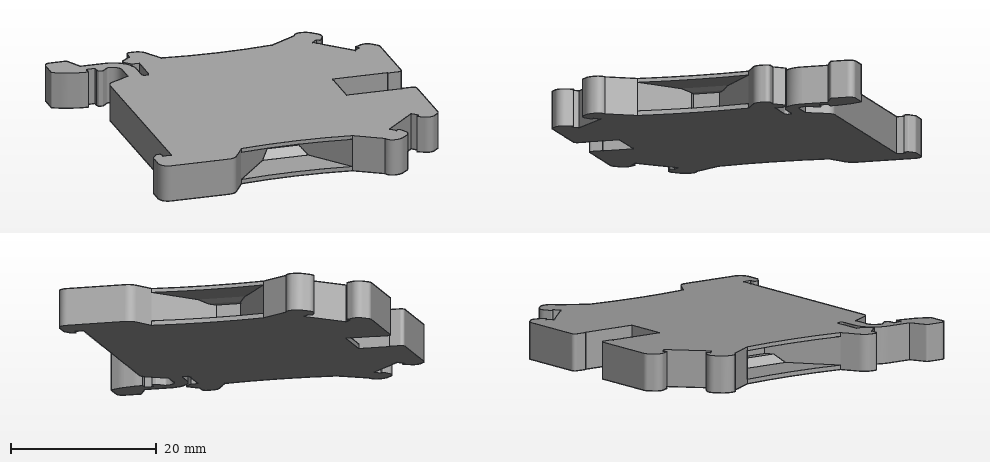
import cadquery as cq
import math

thickness = 5.2
height = 46.0
half_width = 21.25
left_edge = -half_width

notch_half = 3.17
notch_lip = 0.15
lip_bottom = 43.95
lip_radius = 0.55
notch_bottom = 35.95
ledge_top = 39.5
ledge_thickness = 0.65

nose_sum = 59.3
groove_upper = (12.55, 42.27)
groove_length = 6.6
nose_radius = 1.2
top_radius = 0.85
outer_radius = 1.85

side_x = 18.0
side_low = 16.05
side_high = 32.05
side_bow = 0.5
foot_shoulder = 14.1
foot_shoulder_radius = 1.6

base_y = 6.15
foot_bottom = 3.45
foot_inner_x = 17.45
foot_hook_x = 16.6
foot_radius = 1.43
hook_top = 4.9

spring_outer_x = -18.4
spring_inner_x = -16.97
spring_top = 11.55
spring_hook_x = -15.8
spring_root_x = -12.8
spring_root_y = 9.55
bend_outer_radius = 3.35
bend_inner_radius = 1.3
gap_height = 1.0
gap_end_x = -12.37
gap_end_radius = 0.45
tab_outer_x = -20.85
tab_inner_radius = 3.7

pocket_floor = 0.65
pocket_ceiling = 4.65
throat_floor = 1.75
throat_ceiling = 4.3
ramp_start = 6.0
ramp_end = 7.25
throat_end = 8.25
throat_high = 26.7
throat_low = 22.9


def rounded_outline(corners):
    """Closed outline through (x, y, radius) corners, each rounded by its radius."""
    spans = []
    for i, (x, y, radius) in enumerate(corners):
        corner = cq.Vector(x, y)
        to_last = (cq.Vector(*corners[i - 1][:2]) - corner).normalized()
        to_next = (cq.Vector(*corners[(i + 1) % len(corners)][:2]) - corner).normalized()
        if radius == 0:
            spans.append((corner, None, corner))
            continue
        half_angle = to_last.getAngle(to_next) / 2
        setback = radius / math.tan(half_angle)
        middle_gap = radius / math.sin(half_angle) - radius
        bisector = (to_last + to_next).normalized()
        arc_start = corner + to_last * setback
        arc_end = corner + to_next * setback
        spans.append((arc_start, corner + bisector * middle_gap, arc_end))

    outline = cq.Workplane("XY").moveTo(*spans[-1][2].toTuple()[:2])
    for start, middle, end in spans:
        outline = outline.lineTo(*start.toTuple()[:2])
        if middle is not None:
            outline = outline.threePointArc(middle.toTuple()[:2], end.toTuple()[:2])
    return outline.close()


def shoulder_corners():
    """Corners of the right shoulder, from the notch down to the side wall."""
    groove_run = groove_length / math.sqrt(2)
    middle_x = groove_upper[0] + groove_run / 2
    middle_y = groove_upper[1] - groove_run / 2

    upper = [
        (14.8, nose_sum - 14.8, nose_radius),
        (13.8, 42.65, 0.15),
        (13.35, 43.05, 0),
        (*groove_upper, 0),
    ]
    lower = [(middle_x + y - middle_y, middle_y + x - middle_x, r) for x, y, r in reversed(upper)]
    return [
        (notch_half, notch_bottom, 0),
        (notch_half, lip_bottom, 0),
        (notch_half - notch_lip, lip_bottom, 0),
        (notch_half - notch_lip, height, lip_radius),
        (nose_sum - height, height, top_radius),
        *upper,
        *lower,
        (half_width, nose_sum - half_width, outer_radius),
        (half_width, 36.3, 1.2),
        (20.4, 35.95, 0),
        (side_x, side_high, 0),
    ]


def fixed_foot_corners():
    """Right foot, from the side wall to the base."""
    return [
        (side_x, side_low, 0),
        (half_width, foot_shoulder, foot_shoulder_radius),
        (half_width, foot_bottom, foot_radius),
        (17.65, foot_bottom, 0.7),
        (foot_hook_x, 4.25, 0.15),
        (foot_hook_x, hook_top - 0.1, 0.15),
        (17.0, hook_top, 0),
        (foot_inner_x, hook_top, 0),
        (foot_inner_x, base_y, 0),
    ]


def spring_foot_corners():
    """Left foot with its spring arm, from the base to the side wall."""
    gap_top = spring_top + gap_height
    stop_y = 12.0
    return [
        (-10.85, base_y, 1.3),
        (spring_root_x, spring_root_y, 0),
        (-16.35, spring_root_y, bend_inner_radius),
        (-16.75, 7.95, 0.45),
        (spring_hook_x, 6.95, 0.25),
        (spring_hook_x, 6.35, 0.15),
        (-16.35, base_y, 0),
        (spring_inner_x, base_y, 0),
        (spring_inner_x, hook_top, 0),
        (-15.95, hook_top, 0),
        (-16.0, 3.9, tab_inner_radius),
        (-16.45, 1.7, tab_inner_radius),
        (-17.3, 0, 0.2),
        (tab_outer_x, 0, 0.9),
        (tab_outer_x, 3.3, 0.35),
        (spring_outer_x, 4.5, 0),
        (spring_outer_x, spring_top, bend_outer_radius),
        (gap_end_x, spring_top, gap_end_radius),
        (gap_end_x, gap_top, gap_end_radius),
        (spring_inner_x, gap_top, 0),
        (spring_inner_x, 11.5, 0),
        (-17.95, 10.6, 0),
        (-18.4, 10.6, 0),
        (-19.7, stop_y, 0),
        (left_edge, stop_y, 0.6),
        (left_edge, foot_shoulder, foot_shoulder_radius),
        (-side_x, side_low, 0),
    ]


def both_sides(solid):
    """The right-hand solid together with its mirror image."""
    return solid.union(solid.mirror("YZ"))


def side_bow_cut():
    """Shallow circular segment that bows the right side wall inwards."""
    bow_middle = (side_x - side_bow, (side_low + side_high) / 2)
    segment = cq.Workplane("XY").moveTo(side_x, side_low)
    return segment.threePointArc(bow_middle, (side_x, side_high)).close().extrude(thickness)


def pocket():
    """Wire entry in the right side: a funnel in plan, ramped above and below into a throat."""
    plan = [
        (side_x, side_high),
        (side_x - ramp_end, throat_high),
        (side_x - throat_end, throat_high),
        (side_x - throat_end, throat_low),
        (side_x, side_low),
    ]
    profile = [
        (side_x, pocket_floor),
        (side_x - ramp_start, pocket_floor),
        (side_x - ramp_end, throat_floor),
        (side_x - throat_end, throat_floor),
        (side_x - throat_end, throat_ceiling),
        (side_x - ramp_end, throat_ceiling),
        (side_x - ramp_start, pocket_ceiling),
        (side_x, pocket_ceiling),
    ]
    funnel = cq.Workplane("XY").polyline(plan).close().extrude(thickness)
    ramps = cq.Workplane("XZ").polyline(profile).close().extrude(-height)
    return funnel.intersect(ramps)


def notch_ledge():
    """Thin ledge across the bottom of the notch."""
    ledge = cq.Workplane("XY").rect(2 * notch_half, ledge_top - notch_bottom).extrude(ledge_thickness)
    return ledge.translate((0, (ledge_top + notch_bottom) / 2, 0))


right_shoulder = shoulder_corners()
left_shoulder = [(-x, y, r) for x, y, r in reversed(right_shoulder)]
corners = right_shoulder + fixed_foot_corners() + spring_foot_corners() + left_shoulder

body = rounded_outline(corners).extrude(thickness)
body = body.cut(both_sides(side_bow_cut()))
body = body.cut(both_sides(pocket()))
result = body.union(notch_ledge())